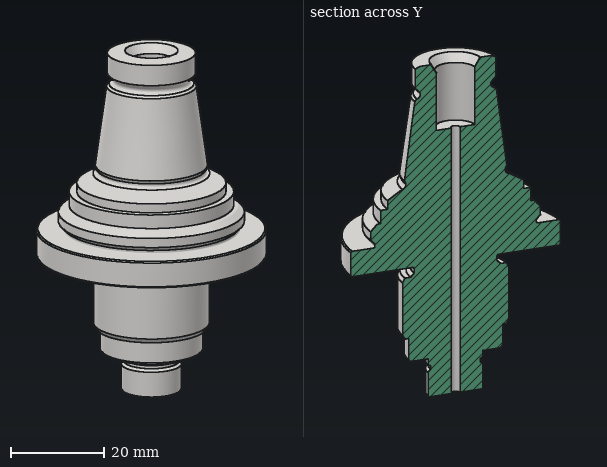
import cadquery as cq
import math

HEIGHT = 76.0

PIN_R = 13.0 / 2
PIN_CHAMFER = 0.2
PIN_GROOVE_R = 11.8 / 2
PIN_GROOVE_BOTTOM = 5.8
PIN_GROOVE_TOP = 7.4
PIN_GROOVE_BEVEL = PIN_R - PIN_GROOVE_R
PIN_GROOVE_UPPER_BEVEL = 0.3

COLLAR_R = 11.1
COLLAR_BOTTOM = 8.75
COLLAR_CHAMFER = 0.5
BODY_R = 25.0 / 2
BODY_BOTTOM = 14.05
BODY_TOP = 28.1
BODY_CHAMFER_WIDTH = 0.5
BODY_CHAMFER_HEIGHT = 1.0

NECK_R = 19.5 / 2
NECK_BEVEL = 0.8
NECK_FILLET = 0.4

FLANGE_R = 49.4 / 2
FLANGE_BOTTOM = 30.2
FLANGE_TOP = 36.1
FLANGE_CHAMFER = 0.3

RING_GROOVE_R = 38.1 / 2
RING_GROOVE_FILLET = 0.3
RING_R = 40.0 / 2
RING_BOTTOM = 37.85
RING_TOP = 41.4
RING_CHAMFER = 1.5
RING_EDGE_ROUND = 0.3
STEP_R = 35.4 / 2
STEP_TOP = 44.5
SHOULDER_R = 32.1 / 2
SHOULDER_TOP = 46.45
SHOULDER_CONE_R = 12.55
SHOULDER_CONE_TOP = 48.5

RELIEF_R = 11.8
RELIEF_FILLET_TOP = 49.3
RELIEF_FILLET_MIDDLE = (12.0, 48.7)
RELIEF_TOP = 49.6
TAPER_BOTTOM_R = 12.1
TAPER_BOTTOM = 50.4
TAPER_TOP_R = 9.65
TAPER_TOP = 68.1
TAPER_CHAMFER = 0.5

GRIP_R = 8.35
GRIP_MIDDLE = 69.55
GRIP_EDGE_R = 8.7
GRIP_TOP = 70.15
HEAD_R = 19.0 / 2
HEAD_BOTTOM = GRIP_TOP + HEAD_R - GRIP_EDGE_R
HEAD_CHAMFER_WIDTH = 1.15
HEAD_CHAMFER_HEIGHT = 0.45
HEAD_EDGE_ROUND = 0.3

THROUGH_R = 2.0 / 2
BORE_R = 9.0 / 2
BORE_DEPTH = 15.2
MOUTH_R = 11.4 / 2
MOUTH_DEPTH = 2.05


def bevel_to_face(outline, outer_r, top, width, height, edge_round):
    """Bevel inward from outer_r to a flat face at top, with a rounded inner edge.

    The round reaches edge_round along both the bevel and the face.
    """
    corner_r = outer_r - width
    slope = math.hypot(width, height)
    round_start_r = corner_r + edge_round * width / slope
    round_start_z = top - edge_round * height / slope
    return (
        outline
        .lineTo(outer_r, top - height)
        .lineTo(round_start_r, round_start_z)
        .tangentArcPoint((corner_r - edge_round, top), relative=False)
    )


def lower_outline(outline):
    """Tail pin, collar and body, from the base up to the body's top face."""
    return (
        outline
        .lineTo(PIN_R - PIN_CHAMFER, 0)
        .lineTo(PIN_R, PIN_CHAMFER)
        .lineTo(PIN_R, PIN_GROOVE_BOTTOM)
        .lineTo(PIN_GROOVE_R, PIN_GROOVE_BOTTOM + PIN_GROOVE_BEVEL)
        .lineTo(PIN_GROOVE_R, PIN_GROOVE_TOP - PIN_GROOVE_UPPER_BEVEL)
        .lineTo(PIN_R, PIN_GROOVE_TOP)
        .lineTo(PIN_R, COLLAR_BOTTOM)
        .lineTo(COLLAR_R - COLLAR_CHAMFER, COLLAR_BOTTOM)
        .lineTo(COLLAR_R, COLLAR_BOTTOM + COLLAR_CHAMFER)
        .lineTo(COLLAR_R, BODY_BOTTOM)
        .lineTo(BODY_R - BODY_CHAMFER_WIDTH, BODY_BOTTOM)
        .lineTo(BODY_R, BODY_BOTTOM + BODY_CHAMFER_HEIGHT)
        .lineTo(BODY_R, BODY_TOP - BODY_CHAMFER_HEIGHT)
        .lineTo(BODY_R - BODY_CHAMFER_WIDTH, BODY_TOP)
    )


def middle_outline(outline):
    """Relief neck, flange, stepped rings and the conical shoulder."""
    outline = (
        outline
        .lineTo(NECK_R + NECK_BEVEL, BODY_TOP)
        .lineTo(NECK_R, BODY_TOP + NECK_BEVEL)
        .lineTo(NECK_R, FLANGE_BOTTOM - NECK_FILLET)
        .tangentArcPoint((NECK_R + NECK_FILLET, FLANGE_BOTTOM), relative=False)
        .lineTo(FLANGE_R - FLANGE_CHAMFER, FLANGE_BOTTOM)
        .lineTo(FLANGE_R, FLANGE_BOTTOM + FLANGE_CHAMFER)
        .lineTo(FLANGE_R, FLANGE_TOP - FLANGE_CHAMFER)
        .lineTo(FLANGE_R - FLANGE_CHAMFER, FLANGE_TOP)
        .lineTo(RING_GROOVE_R + RING_GROOVE_FILLET, FLANGE_TOP)
        .tangentArcPoint((RING_GROOVE_R, FLANGE_TOP + RING_GROOVE_FILLET), relative=False)
        .lineTo(RING_GROOVE_R, RING_BOTTOM - (RING_R - RING_GROOVE_R))
        .lineTo(RING_R, RING_BOTTOM)
    )
    outline = bevel_to_face(
        outline, RING_R, RING_TOP, RING_CHAMFER, RING_CHAMFER, RING_EDGE_ROUND
    )
    return (
        outline
        .lineTo(STEP_R, RING_TOP)
        .lineTo(STEP_R, STEP_TOP)
        .lineTo(SHOULDER_R, STEP_TOP)
        .lineTo(SHOULDER_R, SHOULDER_TOP)
        .lineTo(SHOULDER_CONE_R, SHOULDER_CONE_TOP)
    )


def upper_outline(outline):
    """Taper shank, grip groove and head, up to the outer edge of the top face."""
    outline = (
        outline
        .threePointArc(RELIEF_FILLET_MIDDLE, (RELIEF_R, RELIEF_FILLET_TOP))
        .lineTo(RELIEF_R, RELIEF_TOP)
        .lineTo(TAPER_BOTTOM_R, TAPER_BOTTOM)
        .lineTo(TAPER_TOP_R, TAPER_TOP)
        .lineTo(TAPER_TOP_R - TAPER_CHAMFER, TAPER_TOP + TAPER_CHAMFER)
        .threePointArc((GRIP_R, GRIP_MIDDLE), (GRIP_EDGE_R, GRIP_TOP))
        .lineTo(HEAD_R, HEAD_BOTTOM)
    )
    return bevel_to_face(
        outline, HEAD_R, HEIGHT, HEAD_CHAMFER_WIDTH, HEAD_CHAMFER_HEIGHT, HEAD_EDGE_ROUND
    )


def bore_outline(outline):
    """Conical mouth, blind bore and through hole, back down to the base."""
    return (
        outline
        .lineTo(MOUTH_R, HEIGHT)
        .lineTo(BORE_R, HEIGHT - MOUTH_DEPTH)
        .lineTo(BORE_R, HEIGHT - BORE_DEPTH)
        .lineTo(THROUGH_R, HEIGHT - BORE_DEPTH)
        .lineTo(THROUGH_R, 0)
    )


profile = cq.Workplane("XZ").moveTo(THROUGH_R, 0)
for section in (lower_outline, middle_outline, upper_outline, bore_outline):
    profile = section(profile)

result = profile.close().revolve(360, (0, 0, 0), (0, 1, 0))